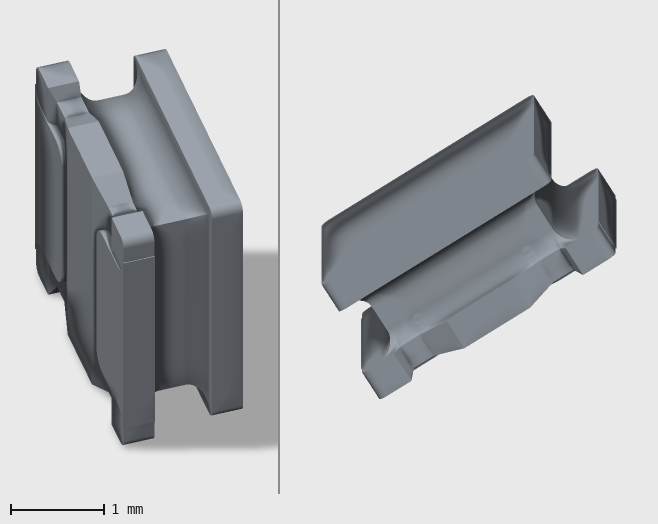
import cadquery as cq
import math

overall_width = 3.02
overall_depth = 1.41
core_height = 3.0
plating = 0.01

front_flange_width = overall_width - 2 * plating
back_flange_width = 2.7
flange_thickness = 0.35
flange_corner_radius = 0.1
neck_width = 2.1
neck_height = 2.4
neck_fillet = 0.2
selection_margin = 0.003

groove_inner_top = 0.417
groove_inner_floor = 0.765
groove_outer_floor = 1.012
groove_outer_top = 1.09
groove_depth = 0.075
notch_depth = 0.163

terminal_inner_edge = 0.6
terminal_half_height = 1.0
terminal_radius = 0.2
terminal_side_half_height = terminal_half_height + terminal_radius

back_flange_inner = -flange_thickness
core_front = plating - overall_depth
front_flange_inner = core_front + flange_thickness
terminal_front = -overall_depth
groove_floor = core_front + groove_depth


def block(width, height, y_front, y_back):
    """Box centred on X and Z that spans the given Y range."""
    depth = y_back - y_front
    return cq.Workplane("XY").box(width, depth, height).translate((0, (y_front + y_back) / 2, 0))


def make_flange(width, y_front, y_back):
    flange = block(width, core_height, y_front, y_back)
    return flange.edges("|Y").fillet(flange_corner_radius)


def trapezoid(plane, side, top, floor):
    """Groove section on one X side, running from its open edge down to its floor."""
    return cq.Workplane(plane).polyline([
        (side * groove_inner_top, top),
        (side * groove_inner_floor, floor),
        (side * groove_outer_floor, floor),
        (side * groove_outer_top, top),
    ]).close()


def make_front_groove(side):
    """Groove along Z in the front face."""
    return trapezoid("XY", side, core_front, groove_floor).extrude(core_height / 2, both=True)


def make_end_notch(side, end):
    """Notch through the front flange at the upper (end = 1) or lower (end = -1) rim."""
    rim = core_height / 2
    section = trapezoid("XZ", side, end * rim, end * (rim - notch_depth))
    return section.extrude(flange_thickness).translate((0, front_flange_inner, 0))


def make_core():
    front_flange = make_flange(front_flange_width, core_front, front_flange_inner)
    for side in (-1, 1):
        front_flange = front_flange.cut(make_front_groove(side))
        for end in (-1, 1):
            front_flange = front_flange.cut(make_end_notch(side, end))
    back_flange = make_flange(back_flange_width, back_flange_inner, 0)
    neck = block(neck_width, neck_height, front_flange_inner, back_flange_inner)
    drum = front_flange.union(neck).union(back_flange)

    half_width = neck_width / 2 + selection_margin
    half_height = neck_height / 2 + selection_margin
    neck_zone = cq.selectors.BoxSelector(
        (-half_width, front_flange_inner - selection_margin, -half_height),
        (half_width, back_flange_inner + selection_margin, half_height),
        boundingbox=True,
    )
    return drum.edges(neck_zone).edges("not |Y").fillet(neck_fillet)


def make_terminal(side, core):
    """Terminal that covers part of the front face, fills the groove and wraps the side face."""
    outer = side * overall_width / 2
    inner = side * terminal_inner_edge
    outer_center = outer - side * terminal_radius
    inner_center = inner + side * terminal_radius
    inner_center_height = terminal_half_height - terminal_radius
    arc_reach = terminal_radius * math.sqrt(0.5)

    pad = (
        cq.Workplane("XZ", origin=(0, groove_floor, 0))
        .moveTo(outer, 0)
        .lineTo(outer, terminal_side_half_height)
        .threePointArc(
            (outer_center + side * arc_reach, terminal_side_half_height - arc_reach),
            (outer_center, terminal_half_height),
        )
        .lineTo(inner_center, terminal_half_height)
        .threePointArc(
            (inner_center - side * arc_reach, inner_center_height + arc_reach),
            (inner, inner_center_height),
        )
        .lineTo(inner, 0)
        .mirrorX()
        .extrude(groove_floor - terminal_front)
    )

    side_plate = block(plating, 2 * terminal_side_half_height, core_front, front_flange_inner)
    side_plate = side_plate.translate((outer - side * plating / 2, 0, 0))
    return pad.union(side_plate).cut(core)


core = make_core()
bodies = core.solids().vals()
for side in (-1, 1):
    bodies += make_terminal(side, core).solids().vals()
result = cq.Compound.makeCompound(bodies)